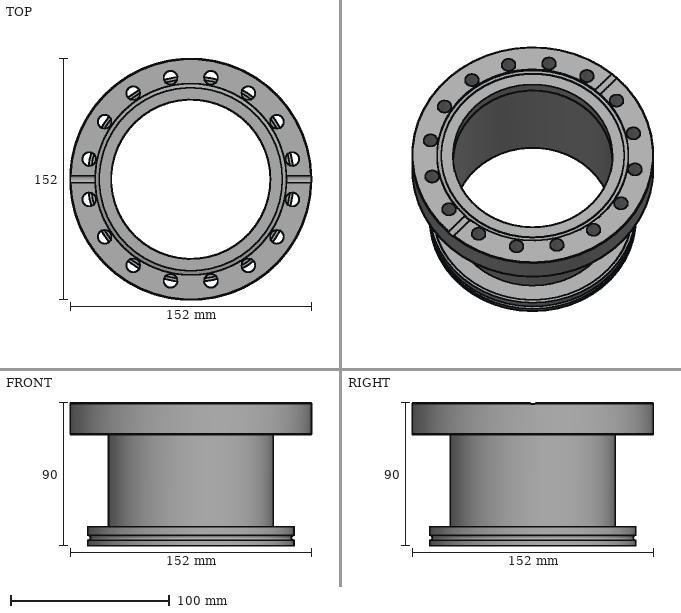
import cadquery as cq

total_height = 90.0

upper_diameter = 152.0
upper_thickness = 20.0
upper_bore = 100.5
edge_chamfer = 0.5
seal_recess_diameter = 120.5
seal_recess_depth = 1.5
knife_diameter = 115.2
knife_tip_depth = 0.6
seal_floor_depth = 1.2
bolt_count = 16
bolt_hole_diameter = 8.5
bolt_circle_diameter = 130.3
leak_groove_width = 4.4
leak_groove_depth = 0.9

tube_outer_diameter = 104.0
tube_inner_diameter = 100.0
tube_top_depth = 9.5

lower_diameter = 130.0
lower_thickness = 12.0
rim_inner_diameter = 126.0
rim_height = 2.0
clamp_groove_radius = 1.7
clamp_groove_z = 5.0

upper_bottom = total_height - upper_thickness
tube_top = total_height - tube_top_depth


def revolve_profile(profile):
    """Turn a closed radius-height profile about the Z axis."""
    return profile.close().revolve(360, (0, 0, 0), (0, 1, 0))


def make_flange_ring():
    """Turned upper flange with tube socket and knife-edge seal."""
    outer = upper_diameter / 2
    recess = seal_recess_diameter / 2
    knife = knife_diameter / 2
    bore = upper_bore / 2
    socket = tube_outer_diameter / 2
    seal_floor = total_height - seal_floor_depth
    return revolve_profile(
        cq.Workplane("XZ")
        .moveTo(socket, upper_bottom)
        .lineTo(outer - edge_chamfer, upper_bottom)
        .lineTo(outer, upper_bottom + edge_chamfer)
        .lineTo(outer, total_height - edge_chamfer)
        .lineTo(outer - edge_chamfer, total_height)
        .lineTo(recess, total_height)
        .lineTo(recess, total_height - seal_recess_depth)
        .lineTo(knife, total_height - knife_tip_depth)
        .lineTo(knife, seal_floor)
        .lineTo(bore, seal_floor)
        .lineTo(bore, tube_top)
        .lineTo(socket, tube_top)
    )


def make_bolt_holes():
    """Through holes straddling the X and Y axes."""
    half_pitch = 180 / bolt_count
    return (
        cq.Workplane("XY", origin=(0, 0, upper_bottom))
        .polarArray(bolt_circle_diameter / 2, half_pitch, 360, bolt_count)
        .circle(bolt_hole_diameter / 2)
        .extrude(upper_thickness)
    )


def make_leak_grooves():
    """Round-bottomed channels from the seal recess to the rim, along +X and -X."""
    half_width = leak_groove_width / 2
    radius = (half_width**2 + leak_groove_depth**2) / (2 * leak_groove_depth)
    axis_z = total_height - leak_groove_depth + radius
    bar = (
        cq.Workplane("YZ", origin=(0, 0, axis_z))
        .circle(radius)
        .extrude(upper_diameter / 2 + edge_chamfer, both=True)
    )
    recess_core = cq.Workplane("XY").circle(seal_recess_diameter / 2).extrude(axis_z + radius)
    return bar.cut(recess_core)


def make_upper_flange():
    return make_flange_ring().cut(make_bolt_holes()).cut(make_leak_grooves())


def make_tube():
    return (
        cq.Workplane("XY")
        .circle(tube_outer_diameter / 2)
        .circle(tube_inner_diameter / 2)
        .extrude(tube_top)
    )


def make_lower_flange():
    """Turned ring with a raised rim on top and a round groove in its outer wall."""
    outer = lower_diameter / 2
    rim = rim_inner_diameter / 2
    socket = tube_outer_diameter / 2
    inner_face = lower_thickness - rim_height
    return revolve_profile(
        cq.Workplane("XZ")
        .moveTo(socket, 0)
        .lineTo(outer, 0)
        .lineTo(outer, clamp_groove_z - clamp_groove_radius)
        .threePointArc(
            (outer - clamp_groove_radius, clamp_groove_z),
            (outer, clamp_groove_z + clamp_groove_radius),
        )
        .lineTo(outer, lower_thickness)
        .lineTo(rim, lower_thickness)
        .lineTo(rim, inner_face)
        .lineTo(socket, inner_face)
    )


upper_flange = make_upper_flange()
tube = make_tube()
lower_flange = make_lower_flange()

result = cq.Compound.makeCompound([upper_flange.val(), tube.val(), lower_flange.val()])